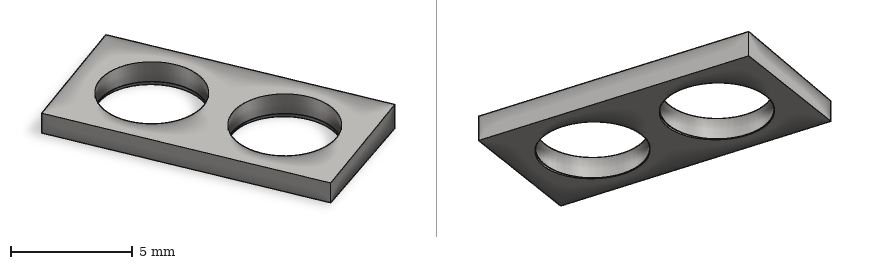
import cadquery as cq

length = 13.04
width = 6.52
thick_side = 1.17
thin_side = 0.98
taper_rise = thick_side - thin_side

hole_diameter = 4.7
relief_diameter = 4.75
hole_spacing = 6.0


def hole_pair(diameter, depth):
    """Two vertical cylinders standing on the lowest level of the plate."""
    return (
        cq.Workplane("XY")
        .pushPoints([(-hole_spacing / 2, 0), (hole_spacing / 2, 0)])
        .circle(diameter / 2)
        .extrude(depth)
    )


plate = (
    cq.Workplane("YZ")
    .polyline([
        (-width / 2, taper_rise),
        (width / 2, 0),
        (width / 2, thick_side),
        (-width / 2, thick_side),
    ])
    .close()
    .extrude(length / 2, both=True)
)

through_holes = hole_pair(hole_diameter, thick_side)
bottom_reliefs = hole_pair(relief_diameter, taper_rise)

result = plate.cut(through_holes).cut(bottom_reliefs)